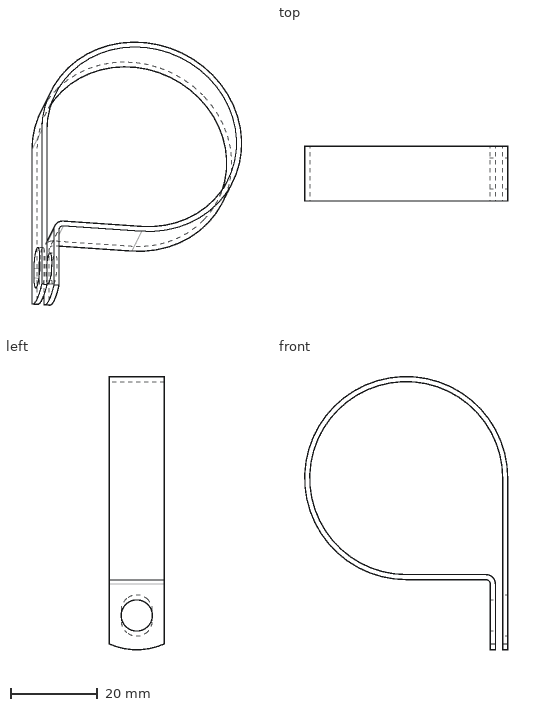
import cadquery as cq
import math

strip_width = 12.7
thickness = 1.22

loop_inner_diameter = 44.45
inner_radius = loop_inner_diameter / 2
outer_radius = inner_radius + thickness

overall_height = 63.07
leg_gap = 1.63
bend_inner_radius = 1.0
bend_outer_radius = bend_inner_radius + thickness
leg_end_radius = 15.5

hole_diameter = 7.14
slot_length = 9.53
slot_angle = 90
hole_to_leg_end = 7.94

leg_bottom = outer_radius - overall_height
short_leg_outer_x = inner_radius - leg_gap
short_leg_inner_x = short_leg_outer_x - thickness
bend_center_x = short_leg_inner_x - bend_inner_radius
bend_center_z = -outer_radius - bend_inner_radius
hole_z = leg_bottom + hole_to_leg_end


def bend_middle(radius):
    """Point on a bend arc, halfway between its +Z and +X ends."""
    offset = radius * math.sqrt(0.5)
    return (bend_center_x + offset, bend_center_z + offset)


def loop_middle(radius):
    """Point on a loop arc, halfway around its three quarters of a turn."""
    offset = radius * math.sqrt(0.5)
    return (-offset, offset)


def make_strip():
    """Bent strip: long leg, three-quarter loop, flat base, bend and short leg."""
    profile = (
        cq.Workplane("XZ")
        .moveTo(outer_radius, leg_bottom)
        .lineTo(outer_radius, 0)
        .threePointArc(loop_middle(outer_radius), (0, -outer_radius))
        .lineTo(bend_center_x, -outer_radius)
        .threePointArc(
            bend_middle(bend_inner_radius),
            (short_leg_inner_x, bend_center_z),
        )
        .lineTo(short_leg_inner_x, leg_bottom)
        .lineTo(short_leg_outer_x, leg_bottom)
        .lineTo(short_leg_outer_x, bend_center_z)
        .threePointArc(
            bend_middle(bend_outer_radius),
            (bend_center_x, -inner_radius),
        )
        .lineTo(0, -inner_radius)
        .threePointArc(loop_middle(inner_radius), (inner_radius, 0))
        .lineTo(inner_radius, leg_bottom)
        .close()
    )
    return profile.extrude(strip_width / 2, both=True)


def make_rounded_envelope():
    """Block around the strip whose underside is the arc of the leg ends."""
    half_width = strip_width / 2
    end_rise = leg_end_radius - math.sqrt(leg_end_radius**2 - half_width**2)
    corner_z = leg_bottom + end_rise
    outline = (
        cq.Workplane("YZ")
        .moveTo(-half_width, outer_radius)
        .lineTo(-half_width, corner_z)
        .threePointArc((0, leg_bottom), (half_width, corner_z))
        .lineTo(half_width, outer_radius)
        .close()
    )
    return outline.extrude(outer_radius, both=True)


def make_round_hole():
    """Bolt hole cutter, running along X through the short leg only."""
    start = cq.Workplane("YZ", origin=(short_leg_inner_x, 0, hole_z))
    return start.circle(hole_diameter / 2).extrude(thickness)


def make_slotted_hole():
    """Slot cutter, level with the bolt hole and running through the long leg only."""
    start = cq.Workplane("YZ", origin=(inner_radius, 0, hole_z))
    return start.slot2D(slot_length, hole_diameter, slot_angle).extrude(thickness)


strip = make_strip().intersect(make_rounded_envelope())
result = strip.cut(make_round_hole()).cut(make_slotted_hole())